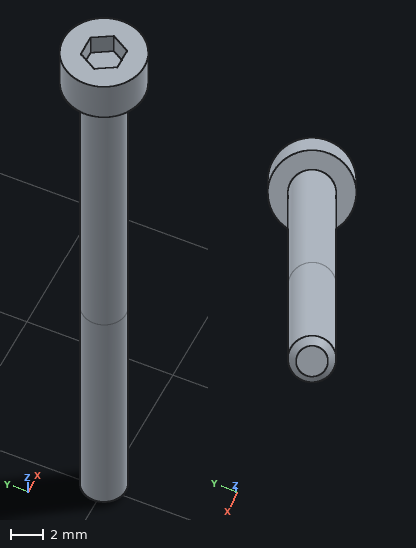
import cadquery as cq
import math

thread_diameter = 3.0
shank_length = 40.0
thread_length = 18.0
head_diameter = 5.5
head_height = thread_diameter
tip_chamfer = 0.51
socket_across_flats = 2.5
socket_depth = head_height / 2


def make_head():
    """Cylindrical head standing on the Z = 0 plane."""
    return cq.Workplane("XY").circle(head_diameter / 2).extrude(head_height)


def make_shank():
    """Plain upper shank and threaded lower length, kept as two cylindrical faces."""
    plain_length = shank_length - thread_length
    plain = cq.Workplane("XY").circle(thread_diameter / 2).extrude(-plain_length)
    threaded = (
        cq.Workplane("XY")
        .workplane(offset=-plain_length)
        .circle(thread_diameter / 2)
        .extrude(-thread_length)
        .faces("<Z")
        .chamfer(tip_chamfer)
    )
    return plain.union(threaded, clean=False)


def make_socket():
    """Hexagonal drive recess with two corners on the X axis."""
    across_corners = socket_across_flats / math.cos(math.radians(30))
    return (
        cq.Workplane("XY")
        .workplane(offset=head_height)
        .polygon(6, across_corners)
        .extrude(-socket_depth)
    )


result = make_head().union(make_shank(), clean=False).cut(make_socket(), clean=False)